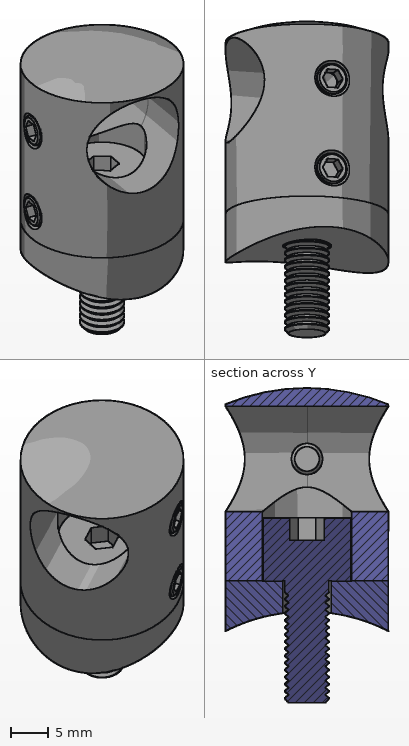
import cadquery as cq
import math

body_diameter = 22.0
body_radius = body_diameter / 2

wall_height = 23.82
dome_rise = 2.2
bar_hole_diameter = 14.2
bar_hole_height = 16.43
stud_bore_diameter = 12.0

screw_diameter = 4.2
screw_length = 5.0
screw_face_y = -body_radius
screw_head_diameter = 3.75
screw_head_chamfer = (screw_diameter - screw_head_diameter) / 2
screw_tip_diameter = 3.3
screw_tip_length = 0.7
screw_socket_flats = 2.5
screw_socket_depth = 2.0
screw_drill_cone_depth = 0.7
screw_spacing = 12.4
upper_screw_height = bar_hole_height
lower_screw_height = upper_screw_height - screw_spacing
screw_hole_chamfer = 0.36

saddle_tube_radius = 24.15
saddle_crown_height = -4.15
stud_clearance_diameter = 6.5

stud_head_diameter = 11.9
stud_head_height = 8.5
stud_socket_flats = 4.0
stud_socket_depth = 3.0
thread_diameter = 6.0
thread_root_diameter = 5.0
thread_pitch = 0.955
thread_crest_width = thread_pitch / 8
thread_rings = 16
stud_end_height = -16.43
stud_end_chamfer = 0.54


def hexagon_corner_diameter(across_flats):
    return across_flats / math.cos(math.pi / 6)


def facing_plane(y, z):
    """Plane at (0, y, z) whose normal points along +Y, into the housing."""
    return cq.Plane(origin=(0, y, z), xDir=(1, 0, 0), normal=(0, 1, 0))


def make_housing():
    dome_top = wall_height + dome_rise
    dome_radius = (body_radius**2 + dome_rise**2) / (2 * dome_rise)
    half_angle = math.asin(body_radius / dome_radius) / 2
    dome_middle = (
        dome_radius * math.sin(half_angle),
        dome_top - dome_radius * (1 - math.cos(half_angle)),
    )
    housing = (
        cq.Workplane("XZ")
        .moveTo(0, 0)
        .lineTo(body_radius, 0)
        .lineTo(body_radius, wall_height)
        .threePointArc(dome_middle, (0, dome_top))
        .close()
        .revolve(360, (0, 0, 0), (0, 1, 0))
    )
    bar_hole = (
        cq.Workplane("YZ")
        .center(0, bar_hole_height)
        .circle(bar_hole_diameter / 2)
        .extrude(body_radius, both=True)
    )
    stud_bore = cq.Workplane("XY").circle(stud_bore_diameter / 2).extrude(bar_hole_height)
    housing = housing.cut(bar_hole).cut(stud_bore)
    for height in (lower_screw_height, upper_screw_height):
        housing = cut_screw_hole(housing, height)
    return housing


def cut_screw_hole(housing, height):
    """Cut a screw hole from the outside to the axis and chamfer its mouth evenly."""
    mouth = (0, -body_radius, height + screw_diameter / 2)
    hole = (
        cq.Workplane(facing_plane(-body_radius, height))
        .circle(screw_diameter / 2)
        .extrude(body_radius)
    )
    return housing.cut(hole).edges(cq.NearestToPointSelector(mouth)).chamfer(screw_hole_chamfer)


def make_screw(height, has_drill_cone):
    """Headless socket screw with a chamfered driving end and a tapered tip."""
    radius = screw_diameter / 2
    tip_y = screw_face_y + screw_length
    screw = (
        cq.Workplane("XY", origin=(0, 0, height))
        .moveTo(0, screw_face_y)
        .lineTo(screw_head_diameter / 2, screw_face_y)
        .lineTo(radius, screw_face_y + screw_head_chamfer)
        .lineTo(radius, tip_y - screw_tip_length)
        .lineTo(screw_tip_diameter / 2, tip_y)
        .lineTo(0, tip_y)
        .close()
        .revolve(360, (0, 0, 0), (0, 1, 0))
    )
    socket = (
        cq.Workplane(facing_plane(screw_face_y, height))
        .polygon(6, hexagon_corner_diameter(screw_socket_flats))
        .extrude(screw_socket_depth)
    )
    screw = screw.cut(socket)
    if has_drill_cone:
        socket_floor_y = screw_face_y + screw_socket_depth
        drill_cone = cq.Solid.makeCone(
            screw_socket_flats / 2,
            0,
            screw_drill_cone_depth,
            cq.Vector(0, socket_floor_y, height),
            cq.Vector(0, 1, 0),
        )
        screw = screw.cut(drill_cone)
    return screw


def make_saddle_base():
    """Round spacer whose underside fits a handrail tube that runs along Y."""
    tube_axis_height = saddle_crown_height - saddle_tube_radius
    tube = (
        cq.Workplane("XZ")
        .center(0, tube_axis_height)
        .circle(saddle_tube_radius)
        .extrude(body_diameter, both=True)
    )
    return (
        cq.Workplane("XY")
        .circle(body_radius)
        .circle(stud_clearance_diameter / 2)
        .extrude(tube_axis_height)
        .cut(tube)
    )


def make_stud():
    """Threaded stud with a cylindrical socket head; the thread is a stack of rings between V grooves."""
    head_radius = stud_head_diameter / 2
    crest_radius = thread_diameter / 2
    root_radius = thread_root_diameter / 2
    first_crest = stud_end_height + stud_end_chamfer
    profile = (
        cq.Workplane("XZ")
        .moveTo(0, stud_end_height)
        .lineTo(root_radius, stud_end_height)
        .lineTo(crest_radius, first_crest)
        .lineTo(crest_radius, first_crest + thread_crest_width)
    )
    for ring in range(1, thread_rings):
        crest = first_crest + ring * thread_pitch
        root = crest - (thread_pitch - thread_crest_width) / 2
        profile = profile.lineTo(root_radius, root)
        profile = profile.lineTo(crest_radius, crest)
        profile = profile.lineTo(crest_radius, crest + thread_crest_width)
    stud = (
        profile.lineTo(crest_radius, 0)
        .lineTo(head_radius, 0)
        .lineTo(head_radius, stud_head_height)
        .lineTo(0, stud_head_height)
        .close()
        .revolve(360, (0, 0, 0), (0, 1, 0))
    )
    socket = (
        cq.Workplane("XY", origin=(0, 0, stud_head_height))
        .polygon(6, hexagon_corner_diameter(stud_socket_flats))
        .extrude(-stud_socket_depth)
    )
    return stud.cut(socket)


housing = make_housing()
saddle_base = make_saddle_base()
stud = make_stud()
screws = [
    make_screw(height, has_drill_cone)
    for height, has_drill_cone in ((lower_screw_height, False), (upper_screw_height, True))
]

result = cq.Compound.makeCompound(
    [housing.val(), saddle_base.val(), stud.val(), *[screw.val() for screw in screws]]
)